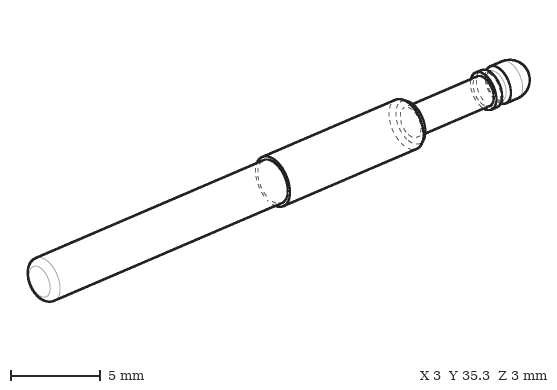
import cadquery as cq
import math

total_length = 35.3

tail_radius = 2.6 / 2
tail_length = 16.95
tail_end_round = 0.4

barrel_radius = 3.0 / 2
barrel_length = 10.03
barrel_chamfer_length = 0.32
barrel_chamfer_depth = 0.2

neck_radius = 1.8 / 2

head_radius = 1.13
head_length = 3.05
collar_width = 0.42
groove_width = 0.65
groove_floor_fillet = 0.16
groove_floor_radius = neck_radius

barrel_start = tail_length
barrel_end = barrel_start + barrel_length
collar_start = total_length - head_length
collar_end = collar_start + collar_width
groove_end = collar_end + groove_width
dome_start = total_length - head_radius

diagonal = math.sqrt(0.5)
tail_face_radius = tail_radius - tail_end_round
tail_round_mid = (
    tail_face_radius + tail_end_round * diagonal,
    tail_end_round * (1 - diagonal),
)
dome_mid = (head_radius * diagonal, dome_start + head_radius * diagonal)

groove_wall_radius = groove_floor_radius + groove_floor_fillet
fillet_mid_inset = groove_floor_fillet * (1 - diagonal)
fillet_mid_radius = groove_floor_radius + fillet_mid_inset
lower_fillet_mid = (fillet_mid_radius, collar_end + fillet_mid_inset)
upper_fillet_mid = (fillet_mid_radius, groove_end - fillet_mid_inset)

half_profile = (
    cq.Workplane("XY")
    .moveTo(0, 0)
    .lineTo(tail_face_radius, 0)
    .threePointArc(tail_round_mid, (tail_radius, tail_end_round))
    .lineTo(tail_radius, barrel_start)
    .lineTo(barrel_radius, barrel_start)
    .lineTo(barrel_radius, barrel_end - barrel_chamfer_length)
    .lineTo(barrel_radius - barrel_chamfer_depth, barrel_end)
    .lineTo(neck_radius, barrel_end)
    .lineTo(neck_radius, collar_start)
    .lineTo(head_radius, collar_start)
    .lineTo(head_radius, collar_end)
    .lineTo(groove_wall_radius, collar_end)
    .threePointArc(lower_fillet_mid, (groove_floor_radius, collar_end + groove_floor_fillet))
    .lineTo(groove_floor_radius, groove_end - groove_floor_fillet)
    .threePointArc(upper_fillet_mid, (groove_wall_radius, groove_end))
    .lineTo(head_radius, groove_end)
    .lineTo(head_radius, dome_start)
    .threePointArc(dome_mid, (0, total_length))
    .close()
)

result = half_profile.revolve(360, (0, 0, 0), (0, 1, 0))